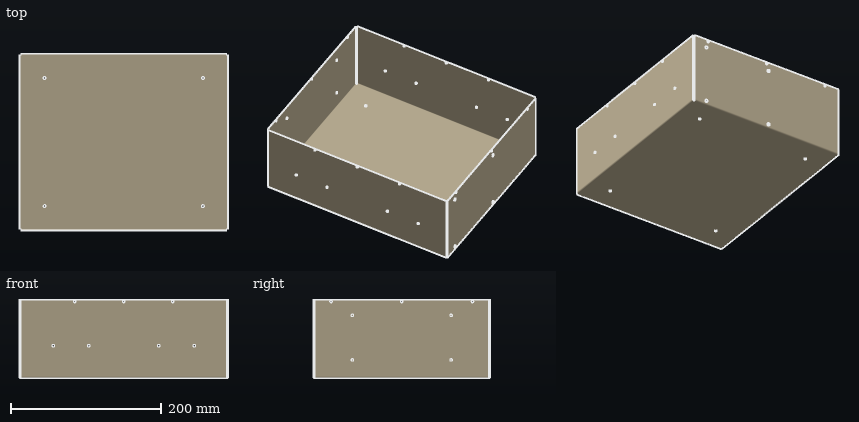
import cadquery as cq

LENGTH = 278.5
WIDTH = 236.0
HEIGHT = 104.7
SHEET = 1.2
BEND_RADIUS = 2.2

RIM_HOLE_DIAMETER = 2.8
RIM_HOLE_DROP = 2.5
LONG_RIM_SPACING = 65.1
SHORT_RIM_SPACING = 94.0

LONG_WALL_HOLE_DIAMETER = 3.0
LONG_WALL_HOLE_Z = 43.5
LONG_WALL_INNER_X = 46.5
LONG_WALL_OUTER_X = 93.8

LEFT_HOLE_DIAMETER = 4.2
LEFT_HOLES_Y = (-3.0, 97.2)
LEFT_HOLES_Z = (6.7, 92.0)

RIGHT_HOLE_DIAMETER = 3.3
RIGHT_HOLE_Y = 65.7
RIGHT_HOLES_Z = (24.5, 83.8)

FLOOR_HOLE_DIAMETER = 3.3
FLOOR_HOLE_X = 105.2
FLOOR_HOLE_Y = 85.2


def bent_channel(plane, span, depth):
    """Sheet bent into a U of the given outside span, extruded evenly to both sides of the plane."""
    outer_side = span / 2
    inner_side = outer_side - SHEET
    bend_start = outer_side - BEND_RADIUS
    inner_radius = BEND_RADIUS - SHEET
    return (
        cq.Workplane(plane)
        .moveTo(-outer_side, HEIGHT)
        .lineTo(-outer_side, BEND_RADIUS)
        .radiusArc((-bend_start, 0), -BEND_RADIUS)
        .lineTo(bend_start, 0)
        .radiusArc((outer_side, BEND_RADIUS), -BEND_RADIUS)
        .lineTo(outer_side, HEIGHT)
        .lineTo(inner_side, HEIGHT)
        .lineTo(inner_side, BEND_RADIUS)
        .radiusArc((bend_start, SHEET), inner_radius)
        .lineTo(-bend_start, SHEET)
        .radiusArc((-inner_side, BEND_RADIUS), inner_radius)
        .lineTo(-inner_side, HEIGHT)
        .close()
        .extrude(depth / 2, both=True)
    )


def drills(plane, points, diameter, reach):
    """Cylinders at the given points, extending by reach to both sides of the plane."""
    return cq.Workplane(plane).pushPoints(points).circle(diameter / 2).extrude(reach, both=True)


def rim_points(spacing):
    """Three evenly spaced points just below the rim."""
    return [(step * spacing, HEIGHT - RIM_HOLE_DROP) for step in (-1, 0, 1)]


def grid(first_values, second_values):
    """Every pairing of the two sets of coordinates."""
    return [(first, second) for first in first_values for second in second_values]


floor_length = LENGTH - 2 * BEND_RADIUS
floor_width = WIDTH - 2 * BEND_RADIUS
long_walls = bent_channel("YZ", WIDTH, floor_length)
short_walls = bent_channel("XZ", LENGTH, floor_width)
tray = long_walls.union(short_walls)

tray = tray.cut(drills("XZ", rim_points(LONG_RIM_SPACING), RIM_HOLE_DIAMETER, WIDTH))
tray = tray.cut(drills("YZ", rim_points(SHORT_RIM_SPACING), RIM_HOLE_DIAMETER, LENGTH))

long_wall_x = (-LONG_WALL_OUTER_X, -LONG_WALL_INNER_X, LONG_WALL_INNER_X, LONG_WALL_OUTER_X)
long_wall_points = grid(long_wall_x, (LONG_WALL_HOLE_Z,))
tray = tray.cut(drills("XZ", long_wall_points, LONG_WALL_HOLE_DIAMETER, WIDTH))

left_wall = cq.Plane.YZ(origin=(-LENGTH / 2, 0, 0))
right_wall = cq.Plane.YZ(origin=(LENGTH / 2, 0, 0))
left_points = grid(LEFT_HOLES_Y, LEFT_HOLES_Z)
right_points = grid((-RIGHT_HOLE_Y, RIGHT_HOLE_Y), RIGHT_HOLES_Z)
tray = tray.cut(drills(left_wall, left_points, LEFT_HOLE_DIAMETER, 2 * SHEET))
tray = tray.cut(drills(right_wall, right_points, RIGHT_HOLE_DIAMETER, 2 * SHEET))

floor_points = grid((-FLOOR_HOLE_X, FLOOR_HOLE_X), (-FLOOR_HOLE_Y, FLOOR_HOLE_Y))
result = tray.cut(drills("XY", floor_points, FLOOR_HOLE_DIAMETER, 2 * SHEET))